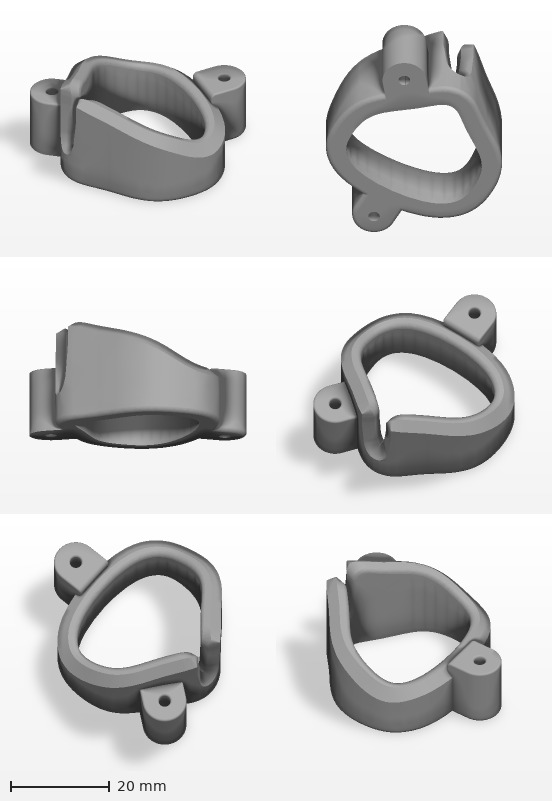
import cadquery as cq

RING_HALF_WIDTH = 18.14
RING_BACK_Y = 12.65
RING_FRONT_Y = -20.1
OUTLINE_SIDE = [
    (6.9, 12.0),
    (13.02, 9.75),
    (16.75, 5.95),
    (RING_HALF_WIDTH, -0.2),
    (16.48, -7.7),
    (12.4, -12.25),
    (9.35, -14.55),
    (6.15, -17.25),
    (2.95, -19.45),
]
OFFSET_SPANS = 16

WALL = 4.1
BLANK_HEIGHT = 25.3
RIM_RADIUS = 1.0
SHOULDER = 2.2
BOTTOM_RADIUS = 0.93

SADDLE_CREST = [
    (14.75, 12.0),
    (10.3, 11.45),
    (5.23, 10.85),
    (1.2, 11.95),
    (-2.85, 14.1),
    (-6.9, 16.1),
]
SADDLE_BACK_SLOPE = 0.1
RAMP_SLOPE = 0.45
RAMP_RUN = 14.33
CUT_WIDTH = 25.3
CUT_MARGIN = 0.42
CUT_TOP = 2 * BLANK_HEIGHT

NOTCH_BOTTOM = 8.0
NOTCH_SIDE = [(0.5, 8.7), (0.93, 10.55), (1.2, 13.05), (1.45, 16.0)]
HORN_RADIUS = 2.95
HORN_OVERLAP = 0.2

LUG_HEIGHT = 13.0
LUG_RADIUS = 4.42
LUG_LENGTH = 5.0
LUG_END_RADIUS = 0.93
LUG_EDGE_RADIUS = 0.4
HOLE_DIAMETER = 2.35
CORE_RADIUS = 3.0
CORE_STEP = 1.0
BACK_LUG = (0, 16.05)
BACK_LUG_ANGLE = -90
FRONT_LUG = (-11.4, -17.25)
FRONT_LUG_ANGLE = 52

NEAR = 0.005


def outline_edge(inset):
    """The right half of the ring's outline, moved inwards by `inset`."""
    half = [(0, RING_BACK_Y)] + OUTLINE_SIDE + [(0, RING_FRONT_Y)]
    points = [cq.Vector(x, y) for x, y in half]
    square_ends = [cq.Vector(1, 0), cq.Vector(-1, 0)]
    outline = cq.Edge.makeSpline(points, tangents=square_ends, scale=False)
    if inset == 0:
        return outline
    moved = []
    for i in range(OFFSET_SPANS + 1):
        along = outline.tangentAt(i / OFFSET_SPANS)
        inwards = cq.Vector(along.y, -along.x)
        moved.append(outline.positionAt(i / OFFSET_SPANS) + inwards * inset)
    return cq.Edge.makeSpline(moved, tangents=square_ends, scale=False)


def half_ring_blank():
    """The plain upright right half of the ring."""
    outer = outline_edge(0)
    inner = outline_edge(WALL)
    back = cq.Edge.makeLine(inner.startPoint(), outer.startPoint())
    front = cq.Edge.makeLine(outer.endPoint(), inner.endPoint())
    plan = cq.Wire.assembleEdges([back, outer, front, inner])
    return cq.Workplane(cq.Solid.extrudeLinear(plan, [], cq.Vector(0, 0, BLANK_HEIGHT)))


def saddle_cutter():
    """The space above the curved part of the top."""
    return (
        cq.Workplane("YZ", origin=(-CUT_MARGIN, 0, 0))
        .spline(SADDLE_CREST, tangents=[(-1, -SADDLE_BACK_SLOPE), (-1, RAMP_SLOPE)], scale=False)
        .lineTo(SADDLE_CREST[-1][0], CUT_TOP)
        .lineTo(SADDLE_CREST[0][0], CUT_TOP)
        .close()
        .extrude(CUT_WIDTH)
    )


def ramp_cutter():
    """The space above the straight ramp in front of the saddle, with the horn's round side."""
    back_y, top = SADDLE_CREST[-1]
    notch_width = NOTCH_SIDE[-1][0]
    low = top - HORN_RADIUS - HORN_OVERLAP
    section = (
        cq.Workplane("XZ", origin=(0, back_y, 0))
        .moveTo(-CUT_MARGIN, low)
        .lineTo(notch_width, low)
        .lineTo(notch_width, top - HORN_RADIUS)
        .radiusArc((notch_width + HORN_RADIUS, top), HORN_RADIUS)
        .lineTo(CUT_WIDTH - CUT_MARGIN, top)
        .lineTo(CUT_WIDTH - CUT_MARGIN, CUT_TOP)
        .lineTo(-CUT_MARGIN, CUT_TOP)
        .close()
    )
    run = cq.Vector(0, -RAMP_RUN, RAMP_RUN * RAMP_SLOPE)
    return cq.Workplane(cq.Solid.extrudeLinear(section.val(), [], run))


def notch_cutter():
    """The space inside the notch, open at the top and towards the front."""
    top_width, top_z = NOTCH_SIDE[-1]
    left = [(-x, z) for x, z in reversed(NOTCH_SIDE)]
    curve = left[1:] + [(0, NOTCH_BOTTOM)] + NOTCH_SIDE
    return (
        cq.Workplane("XZ", origin=(0, SADDLE_CREST[-1][0], 0))
        .moveTo(-top_width, BLANK_HEIGHT)
        .lineTo(-top_width, top_z)
        .spline(curve, tangents=[(0, -1), (0, 1)], scale=False, includeCurrent=True)
        .lineTo(top_width, BLANK_HEIGHT)
        .close()
        .extrude(RAMP_RUN)
    )


def inner_and_outer_wall(body):
    """The two curved walls that stand on z = 0, the narrower one first."""
    faces = body.faces("not %PLANE").vals()
    walls = [f for f in faces if f.BoundingBox().zmin < NEAR and f.BoundingBox().zmax > BOTTOM_RADIUS]
    walls.sort(key=lambda wall: wall.BoundingBox().xmax)
    return walls[0], walls[-1]


def top_edges(wall):
    """The edges along the top of a wall, without those in the plane x = 0."""
    boxes = [(edge, edge.BoundingBox()) for edge in wall.Edges()]
    return [edge for edge, box in boxes if box.zmin > 0.42 and box.xmax > NEAR]


def bottom_edges(wall):
    return [edge for edge in wall.Edges() if edge.BoundingBox().zmax < NEAR]


def make_plain_ring():
    """The ring without its lugs: a finished right half and its mirror image."""
    top = saddle_cutter().union(ramp_cutter())
    half = half_ring_blank().cut(top).cut(notch_cutter())
    inner_wall, _ = inner_and_outer_wall(half)
    half = half.newObject(top_edges(inner_wall)).fillet(RIM_RADIUS)
    _, outer_wall = inner_and_outer_wall(half)
    half = half.newObject(top_edges(outer_wall)).chamfer(SHOULDER)
    _, outer_wall = inner_and_outer_wall(half)
    half = half.newObject(bottom_edges(outer_wall)).fillet(BOTTOM_RADIUS)
    return half.union(half.mirror("YZ"), clean=False, glue=True)


def place(body, position, angle):
    return body.rotate((0, 0, 0), (0, 0, 1), angle).translate((position[0], position[1], 0))


def round_ended(radius):
    """An upright post: half a disc round the origin, then straight along +X to a flat end."""
    return (
        cq.Workplane("XY")
        .moveTo(LUG_LENGTH, radius)
        .lineTo(0, radius)
        .threePointArc((-radius, 0), (0, -radius))
        .lineTo(LUG_LENGTH, -radius)
        .close()
        .extrude(LUG_HEIGHT)
    )


def make_lug():
    lug = round_ended(LUG_RADIUS)
    lug = lug.faces(">X").edges(">Z").fillet(LUG_END_RADIUS)
    return lug.faces(">Z").edges("%CIRCLE").fillet(LUG_EDGE_RADIUS)


def make_footed_lug():
    """A lug whose bottom edge is rounded like the ring's."""
    foot = round_ended(LUG_RADIUS).faces("<Z").edges("%CIRCLE").fillet(BOTTOM_RADIUS)
    return make_lug().intersect(foot)


def make_screw_hole():
    """The space of a screw hole with a rounded mouth."""
    radius = HOLE_DIAMETER / 2
    return (
        cq.Workplane("XZ")
        .lineTo(radius, 0)
        .lineTo(radius, LUG_HEIGHT - LUG_EDGE_RADIUS)
        .radiusArc((radius + LUG_EDGE_RADIUS, LUG_HEIGHT), LUG_EDGE_RADIUS)
        .lineTo(0, LUG_HEIGHT)
        .close()
        .revolve(360, (0, 0, 0), (0, 1, 0))
    )


def make_back_core():
    """The core of the back lug, before drilling."""
    return make_footed_lug().intersect(round_ended(CORE_RADIUS))


def make_front_core():
    """The core of the front lug, before drilling: one half stops just past the hole axis."""
    missing = (
        cq.Workplane("XY")
        .box(LUG_LENGTH, LUG_RADIUS, LUG_HEIGHT, centered=False)
        .translate((CORE_STEP, 0, 0))
    )
    return make_lug().intersect(round_ended(CORE_RADIUS)).cut(missing)


back_hole = place(make_screw_hole(), BACK_LUG, BACK_LUG_ANGLE)
front_hole = place(make_screw_hole(), FRONT_LUG, FRONT_LUG_ANGLE)
back_core = place(make_back_core(), BACK_LUG, BACK_LUG_ANGLE)
front_core = place(make_front_core(), FRONT_LUG, FRONT_LUG_ANGLE)

ring = make_plain_ring()
ring = ring.union(place(make_footed_lug(), BACK_LUG, BACK_LUG_ANGLE), clean=False)
ring = ring.union(place(make_lug(), FRONT_LUG, FRONT_LUG_ANGLE), clean=False)
ring = ring.cut(back_core).cut(front_core).cut(back_hole).cut(front_hole)

back_core = back_core.cut(back_hole)
front_core = front_core.cut(front_hole)

result = cq.Compound.makeCompound(
    [ring.solids().val(), back_core.solids().val(), front_core.solids().val()]
)